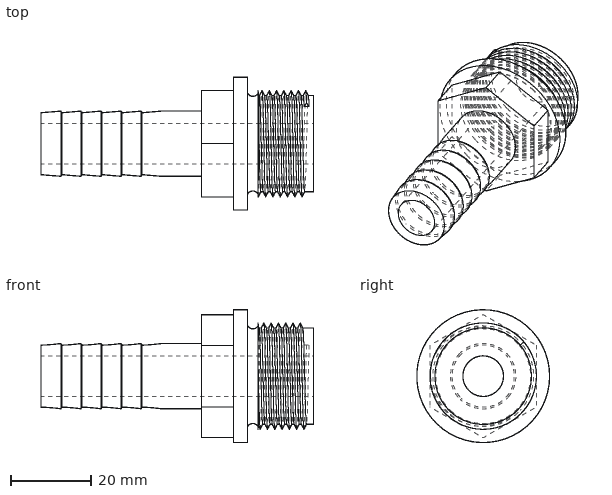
import cadquery as cq
import math

total_length = 68
barb_count = 6
barb_zone_length = 30.0
barb_back_length = 0.3
barb_length = barb_zone_length / barb_count
hex_start = 40.0
flange_start = 48.0
flange_end = 51.55
relief_length = 2.6
lip_thickness = 0.2
relief_end = flange_end + relief_length

bore_radius = 5.0
hose_radius = 8.15
barb_tip_radius = 7.75
hex_across_flats = 26.6
flange_radius = 16.6
core_radius = 12.05
relief_edge_radius = 12.6
relief_root_radius = 11.8

thread_crest_radius = 13.25
thread_length = 12.7
thread_turns = 7
thread_pitch = thread_length / thread_turns
thread_flank_angle = 55
thread_end_crest = 66.2
thread_end_angle = 40
thread_overlap = 0.15


def cylinder_along_x(start, end, radius):
    return cq.Workplane("YZ", origin=(start, 0, 0)).circle(radius).extrude(end - start)


def make_hose_tail():
    outline = cq.Workplane("XY").lineTo(0, barb_tip_radius)
    for index in range(barb_count):
        barb_end = (index + 1) * barb_length
        outline = outline.lineTo(barb_end, hose_radius)
        if index < barb_count - 1:
            outline = outline.lineTo(barb_end + barb_back_length, barb_tip_radius)
    outline = outline.lineTo(hex_start, hose_radius).lineTo(hex_start, 0).close()
    return outline.revolve(360, (0, 0, 0), (1, 0, 0))


def make_hex():
    across_corners = hex_across_flats / math.cos(math.radians(30))
    return (
        cq.Workplane("YZ", origin=(hex_start, 0, 0))
        .transformed(rotate=(0, 0, 90))
        .polygon(6, across_corners)
        .extrude(flange_start - hex_start)
    )


def make_threaded_core():
    """Core cylinder with a rounded relief groove and a sharp lip beside it."""
    relief_middle = flange_end + relief_length / 2
    return (
        cq.Workplane("XY")
        .moveTo(flange_end, 0)
        .lineTo(flange_end, relief_edge_radius)
        .threePointArc((relief_middle, relief_root_radius), (relief_end, relief_edge_radius))
        .lineTo(relief_end, thread_crest_radius)
        .lineTo(relief_end + lip_thickness, core_radius)
        .lineTo(total_length, core_radius)
        .lineTo(total_length, 0)
        .close()
        .revolve(360, (0, 0, 0), (1, 0, 0))
    )


def make_thread():
    """V-shaped helical ridge, cut off square where the relief ends."""
    helix_start = thread_end_crest - thread_length
    base_radius = core_radius - thread_overlap
    ridge_height = thread_crest_radius - base_radius
    half_base = ridge_height * math.tan(math.radians(thread_flank_angle / 2))
    helix = cq.Wire.makeHelix(thread_pitch, thread_length, base_radius)
    ridge = (
        cq.Workplane("XZ")
        .moveTo(base_radius, -half_base)
        .lineTo(thread_crest_radius, 0)
        .lineTo(base_radius, half_base)
        .close()
        .sweep(cq.Workplane(obj=helix), isFrenet=True)
    )
    ridge = ridge.rotate((0, 0, 0), (1, 1, 1), 120)
    ridge = ridge.rotate((0, 0, 0), (1, 0, 0), thread_end_angle)
    ridge = ridge.translate((helix_start, 0, 0))
    return ridge.intersect(cylinder_along_x(relief_end, total_length, flange_radius))


flange = cylinder_along_x(flange_start, flange_end, flange_radius)
bore = cylinder_along_x(0, total_length, bore_radius)

result = (
    make_hose_tail()
    .union(make_hex())
    .union(flange)
    .union(make_threaded_core())
    .union(make_thread())
    .cut(bore)
)